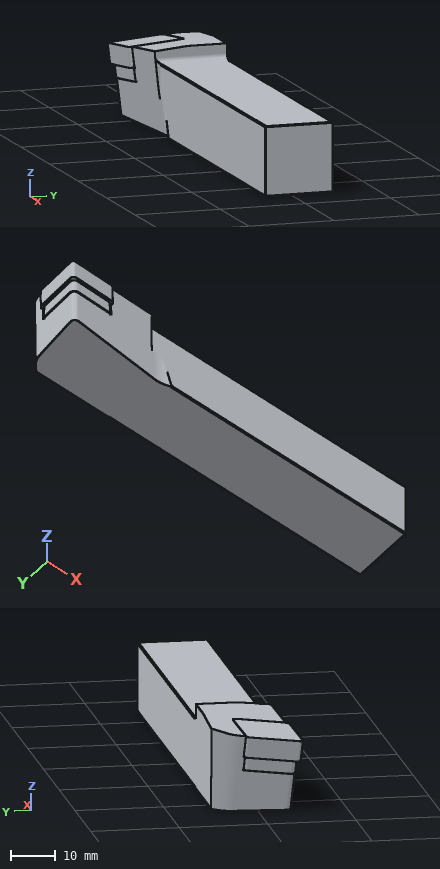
import cadquery as cq
import math


total_length = 99.9
shank_size = 16.0
shank_chamfer = 0.2
shank_root_x = 24.0

insert_side = 12.9
insert_angle = 80.0
insert_thickness = 4.8
nose_radius = 0.8
nose_y = -3.9

seat_side = 12.6
seat_inset = 0.6
seat_thickness = 3.2
seat_radius = 1.2

head_height = 19.5
head_inset = 0.7
head_end = 25.4
head_nose_radius = 1.2
head_reach = 30.0
facet_angle = 47.0
facet_start_y = 15.8
facet_radius = 5.0
root_radius = 1.2
root_block_margin = 1.8
edge_reach = 0.1
root_length = 1.4
runout_start = 26.0
runout_radius = 8.5
runout_sweep = 60.0

rake_slope = 0.094
nose_z = 16.1
edge_angle = (90 - insert_angle) / 2
nose_overhang = nose_radius / math.sin(math.radians(insert_angle / 2)) / math.sqrt(2) - nose_radius
rake = cq.Plane(
    origin=(-nose_overhang, nose_y - nose_overhang, nose_z),
    xDir=(1, 0, rake_slope),
    normal=(-rake_slope, -rake_slope, 1),
)
head_depth = 25.0


def polar(length, angle):
    """Vector of the given length and angle (degrees) in the rake plane."""
    return cq.Vector(length * math.cos(math.radians(angle)), length * math.sin(math.radians(angle)))


along_front = polar(1, edge_angle)
along_left = polar(1, 90 - edge_angle)


def inset_corner(inset):
    """Nose corner after both cutting edges move inward by inset."""
    return (along_front + along_left) * (inset / math.sin(math.radians(insert_angle)))


def prism(points, top, depth):
    """Prism square to the rake plane, its top face lying top below that plane."""
    outline = [point.toTuple()[:2] for point in points]
    return cq.Workplane(rake).workplane(offset=-top).polyline(outline).close().extrude(-depth)


def rhombus(full_side, inset, top, depth):
    """Insert-shaped prism with its two cutting sides moved inward."""
    corner = inset_corner(inset)
    far = (along_front + along_left) * full_side
    side = full_side - inset / math.sin(math.radians(insert_angle))
    return prism(
        [corner, corner + along_front * side, far, corner + along_left * side], top, depth
    )


def rounded(body, radius, corner):
    """Round the edge along the rake normal nearest to a point of the rake plane."""
    edges = body.edges(cq.selectors.ParallelDirSelector(rake.zDir))
    target = rake.toWorldCoords((corner.x, corner.y, -head_depth / 2))
    return edges.edges(cq.selectors.NearestToPointSelector(target.toTuple())).fillet(radius)


def make_insert():
    blank = rhombus(insert_side, 0, 0, insert_thickness)
    return blank.edges(cq.selectors.ParallelDirSelector(rake.zDir)).fillet(nose_radius)


def make_seat():
    blank = rhombus(seat_side, seat_inset, insert_thickness, seat_thickness)
    return blank.edges(cq.selectors.ParallelDirSelector(rake.zDir)).fillet(seat_radius)


head_corner = inset_corner(head_inset)
front_end = head_corner + along_front * ((runout_start - head_corner.x) / along_front.x)


def make_head():
    facet_start = head_corner + along_left * ((facet_start_y - head_corner.y) / along_left.y)
    facet_run = (head_reach - facet_start_y) / math.sin(math.radians(facet_angle))
    facet_end = facet_start + polar(facet_run, facet_angle)
    back_end = cq.Vector(runout_start, head_reach)
    head = prism([head_corner, front_end, back_end, facet_end, facet_start], 0, head_depth)
    head = rounded(head, head_nose_radius, head_corner)
    head = rounded(head, facet_radius, facet_start)
    envelope = cq.Workplane().box(
        2 * head_end, 2 * shank_size, head_height, centered=(True, False, False)
    ).translate((0, -shank_size, 0))
    return head.intersect(envelope)


def make_shank():
    start = head_end + root_length
    shank = cq.Workplane().box(
        total_length - start, shank_size, shank_size, centered=False
    ).translate((start, 0, 0))
    return shank.edges("|X or >X").chamfer(shank_chamfer)


def make_runout():
    """Cutter that carries the front of the head into the shank and sweeps out along an arc."""
    center = front_end + polar(runout_radius, edge_angle - 90)
    middle = center + polar(runout_radius, edge_angle + 90 - runout_sweep / 2)
    end = center + polar(runout_radius, edge_angle + 90 - runout_sweep)
    low_y = center.y - runout_radius
    return (
        cq.Workplane(rake)
        .moveTo(head_corner.x, head_corner.y)
        .lineTo(front_end.x, front_end.y)
        .threePointArc((middle.x, middle.y), (end.x, end.y))
        .lineTo(end.x, low_y)
        .lineTo(head_corner.x, low_y)
        .close()
        .extrude(-head_depth)
    )


def make_root_block():
    """Head end wall that the shank meets, taller and wider than the shank."""
    return cq.Workplane().box(
        head_end - shank_root_x,
        shank_size + root_block_margin,
        shank_size + root_block_margin,
        centered=False,
    ).translate((shank_root_x, -root_block_margin, 0))


def make_root():
    """Square stub with concave fillets where its top and front meet the end of the head."""
    stub = cq.Workplane().box(
        head_end + root_length - shank_root_x, shank_size, shank_size, centered=False
    ).translate((shank_root_x, 0, 0))
    corner_edges = cq.selectors.BoxSelector(
        (head_end - edge_reach, -edge_reach, edge_reach),
        (head_end + edge_reach, shank_size - edge_reach, shank_size + edge_reach),
    )
    return make_root_block().union(stub).edges(corner_edges).fillet(root_radius)


def make_holder(insert):
    shank = make_root().union(make_shank()).cut(make_runout())
    holder = make_head().union(shank)
    seat_pocket = rhombus(seat_side, 0, insert_thickness, seat_thickness)
    return holder.cut(insert).cut(seat_pocket).union(make_seat())


insert = make_insert()
holder = make_holder(insert)
result = cq.Compound.makeCompound([holder.val(), insert.val()])